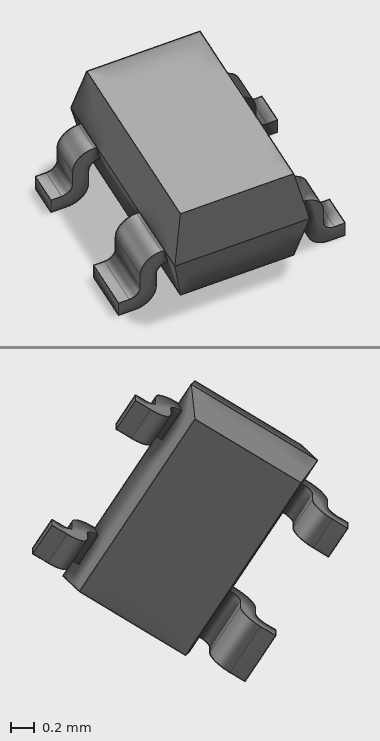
import cadquery as cq

BODY_LENGTH = 2.0
BODY_WIDTH = 1.25
BODY_HEIGHT = 1.0
STANDOFF = 0.1
DRAFT_INSET = 0.1
PARTING_Z = STANDOFF + BODY_HEIGHT / 2

LEAD_SPAN = 2.1
LEAD_THICKNESS = 0.15
OUTER_RADIUS = 0.2
INNER_RADIUS = 0.1
FOOT_FLAT = 0.1
LEAD_OUTER_X = 0.8
NARROW_WIDTH = 0.3
WIDE_WIDTH = 0.48

TIP_Y = LEAD_SPAN / 2
SHANK_OUTER_Y = TIP_Y - FOOT_FLAT - INNER_RADIUS
SHANK_INNER_Y = SHANK_OUTER_Y - LEAD_THICKNESS
PARTING_EDGE_Y = BODY_WIDTH / 2
DRAFT_SLOPE = DRAFT_INSET / (BODY_HEIGHT / 2)
LEAD_UNDERSIDE_Z = PARTING_Z - LEAD_THICKNESS
ROOT_LOWER_Y = PARTING_EDGE_Y - LEAD_THICKNESS * DRAFT_SLOPE

LEADS = [
    (-LEAD_OUTER_X, NARROW_WIDTH, -1),
    (LEAD_OUTER_X - WIDE_WIDTH, WIDE_WIDTH, -1),
    (-LEAD_OUTER_X, NARROW_WIDTH, 1),
    (LEAD_OUTER_X - NARROW_WIDTH, NARROW_WIDTH, 1),
]


def make_body_half(face_z):
    """Tapered half of the body, from the parting plane to a flat face at face_z."""
    return (
        cq.Workplane("XY", origin=(0, 0, PARTING_Z))
        .rect(BODY_LENGTH, BODY_WIDTH)
        .workplane(offset=face_z - PARTING_Z)
        .rect(BODY_LENGTH - 2 * DRAFT_INSET, BODY_WIDTH - 2 * DRAFT_INSET)
        .loft(ruled=True)
    )


def make_body():
    upper_half = make_body_half(STANDOFF + BODY_HEIGHT)
    lower_half = make_body_half(STANDOFF)
    return upper_half.union(lower_half)


def make_lead(low_x, width, side):
    """S-shaped lead whose root lies flush against the sloping lower side of the body."""
    lead = (
        cq.Workplane("YZ", origin=(low_x, 0, 0))
        .moveTo(PARTING_EDGE_Y, PARTING_Z)
        .lineTo(SHANK_OUTER_Y - OUTER_RADIUS, PARTING_Z)
        .radiusArc((SHANK_OUTER_Y, PARTING_Z - OUTER_RADIUS), OUTER_RADIUS)
        .lineTo(SHANK_OUTER_Y, LEAD_THICKNESS + INNER_RADIUS)
        .radiusArc((SHANK_OUTER_Y + INNER_RADIUS, LEAD_THICKNESS), -INNER_RADIUS)
        .lineTo(TIP_Y, LEAD_THICKNESS)
        .lineTo(TIP_Y, 0)
        .lineTo(SHANK_INNER_Y + OUTER_RADIUS, 0)
        .radiusArc((SHANK_INNER_Y, OUTER_RADIUS), OUTER_RADIUS)
        .lineTo(SHANK_INNER_Y, LEAD_UNDERSIDE_Z - INNER_RADIUS)
        .radiusArc((SHANK_INNER_Y - INNER_RADIUS, LEAD_UNDERSIDE_Z), -INNER_RADIUS)
        .lineTo(ROOT_LOWER_Y, LEAD_UNDERSIDE_Z)
        .close()
        .extrude(width)
    )
    if side < 0:
        lead = lead.mirror("XZ")
    return lead


body = make_body()
leads = [make_lead(low_x, width, side) for low_x, width, side in LEADS]

result = cq.Compound.makeCompound([body.val(), *[lead.val() for lead in leads]])